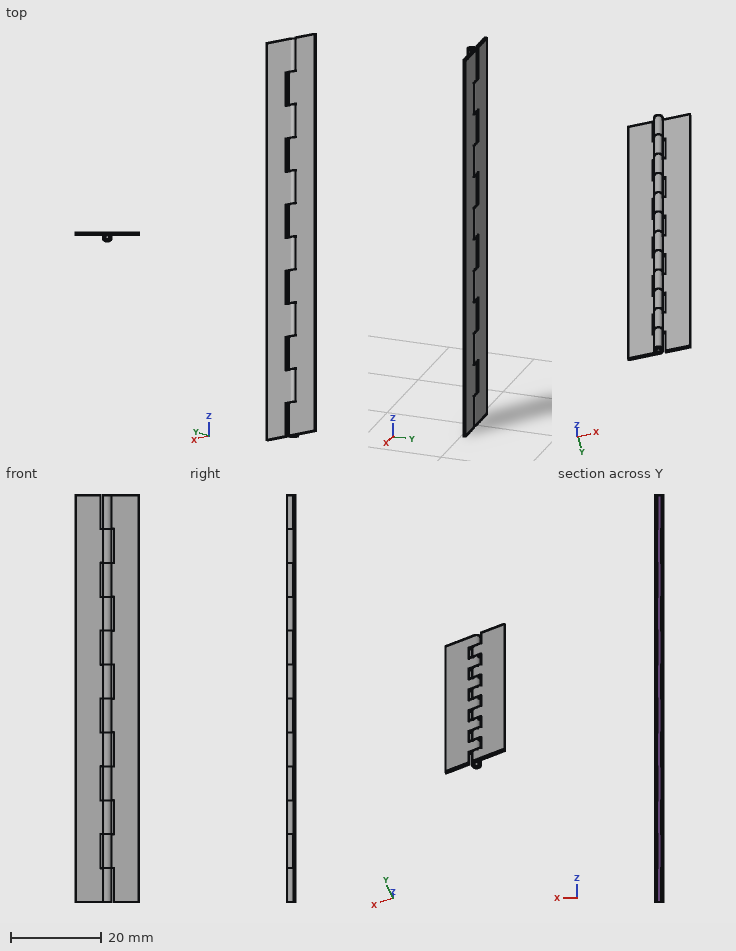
import cadquery as cq
import math

LENGTH = 90.0
OPEN_WIDTH = 14.0
KNUCKLE_DIAMETER = 2.0
SHEET_THICKNESS = 0.495
KNUCKLE_COUNT = 12
NOTCH_CLEARANCE = 0.495
CURL_END_ANGLE = 20.0

KNUCKLE_RADIUS = KNUCKLE_DIAMETER / 2
PIN_RADIUS = KNUCKLE_RADIUS - SHEET_THICKNESS
KNUCKLE_LENGTH = LENGTH / KNUCKLE_COUNT
NOTCH_EDGE = KNUCKLE_RADIUS + NOTCH_CLEARANCE
LEAF_REACH = OPEN_WIDTH / 2


def leaf_plate(side):
    """Flat plate beyond the notches, with its back tangent to the knuckles."""
    plate_width = LEAF_REACH - NOTCH_EDGE
    return (
        cq.Workplane("XY", origin=(0, 0, -LENGTH / 2))
        .center(side * (NOTCH_EDGE + plate_width / 2), PIN_RADIUS + SHEET_THICKNESS / 2)
        .rect(plate_width, SHEET_THICKNESS)
        .extrude(LENGTH)
    )


def point_at(radius, angle, side):
    """Point at an angle in degrees from the leaf direction, mirrored for the left leaf."""
    turn = math.radians(angle)
    return (side * radius * math.cos(turn), radius * math.sin(turn))


def knuckle(side, bottom):
    """Sheet curled around the pin, with a narrow slit between the curl end and the leaf."""
    middle_angle = (90 + 360 + CURL_END_ANGLE) / 2
    return (
        cq.Workplane("XY", origin=(0, 0, bottom))
        .moveTo(side * LEAF_REACH, KNUCKLE_RADIUS)
        .lineTo(0, KNUCKLE_RADIUS)
        .threePointArc(
            point_at(KNUCKLE_RADIUS, middle_angle, side),
            point_at(KNUCKLE_RADIUS, CURL_END_ANGLE, side),
        )
        .lineTo(*point_at(PIN_RADIUS, CURL_END_ANGLE, side))
        .threePointArc(point_at(PIN_RADIUS, middle_angle, side), (0, PIN_RADIUS))
        .lineTo(side * LEAF_REACH, PIN_RADIUS)
        .close()
        .extrude(KNUCKLE_LENGTH)
    )


def make_leaf(side, first_knuckle):
    """Leaf on the given side (-1 or +1 along X), owning every second knuckle."""
    leaf = leaf_plate(side)
    for index in range(first_knuckle, KNUCKLE_COUNT, 2):
        leaf = leaf.union(knuckle(side, -LENGTH / 2 + index * KNUCKLE_LENGTH))
    return leaf.clean()


def make_pin():
    """Hinge pin, flush with both ends of the knuckles."""
    return cq.Workplane("XY", origin=(0, 0, -LENGTH / 2)).circle(PIN_RADIUS).extrude(LENGTH)


left_leaf = make_leaf(side=-1, first_knuckle=0)
right_leaf = make_leaf(side=1, first_knuckle=1)
pin = make_pin()

result = cq.Compound.makeCompound([left_leaf.val(), right_leaf.val(), pin.val()])